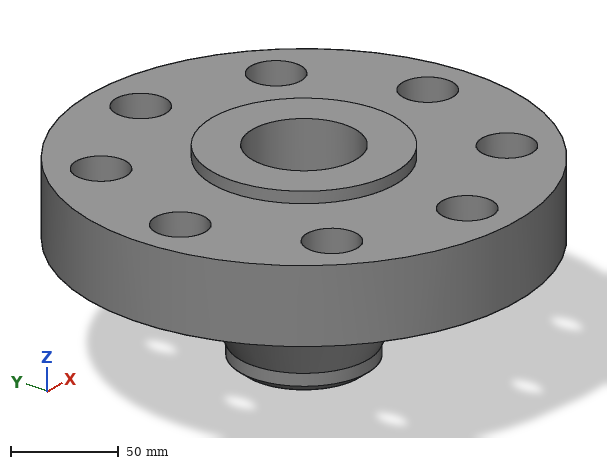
import cadquery as cq

flange_diameter = 244.5
flange_thickness = 41.3
face_diameter = 104.9
face_height = 6.4

overall_height = 111.2
hub_diameter = 124.0
neck_diameter = 72.9
neck_length = 11.0
bevel_height = 4.5
bevel_width = 5.6
hub_fillet = 10.0

bore_diameter = 59.0
bolt_circle_diameter = 190.5
bolt_hole_diameter = 28.5
bolt_count = 8

flange_top = overall_height - face_height
flange_bottom = flange_top - flange_thickness


def revolved_body():
    """Solid flange, raised face, hub and bevelled neck about Z."""
    neck_radius = neck_diameter / 2
    return (
        cq.Workplane("XZ")
        .moveTo(0, 0)
        .lineTo(neck_radius - bevel_width, 0)
        .lineTo(neck_radius, bevel_height)
        .lineTo(neck_radius, neck_length)
        .lineTo(hub_diameter / 2, flange_bottom)
        .lineTo(flange_diameter / 2, flange_bottom)
        .lineTo(flange_diameter / 2, flange_top)
        .lineTo(face_diameter / 2, flange_top)
        .lineTo(face_diameter / 2, overall_height)
        .lineTo(0, overall_height)
        .close()
        .revolve(360, (0, 0, 0), (0, 1, 0))
    )


def round_hub_root(body):
    """Fillet the inside corner where the hub meets the flange."""
    hub_root = cq.selectors.RadiusNthSelector(-2)
    return body.edges("%CIRCLE").edges(hub_root).fillet(hub_fillet)


def bolt_holes():
    """Through-hole cutters, the first one on the +X axis."""
    return (
        cq.Workplane("XY")
        .workplane(offset=flange_bottom)
        .polarArray(bolt_circle_diameter / 2, 0, 360, bolt_count)
        .circle(bolt_hole_diameter / 2)
        .extrude(flange_thickness)
    )


bore = cq.Workplane("XY").circle(bore_diameter / 2).extrude(overall_height)

result = round_hub_root(revolved_body()).cut(bore).cut(bolt_holes())